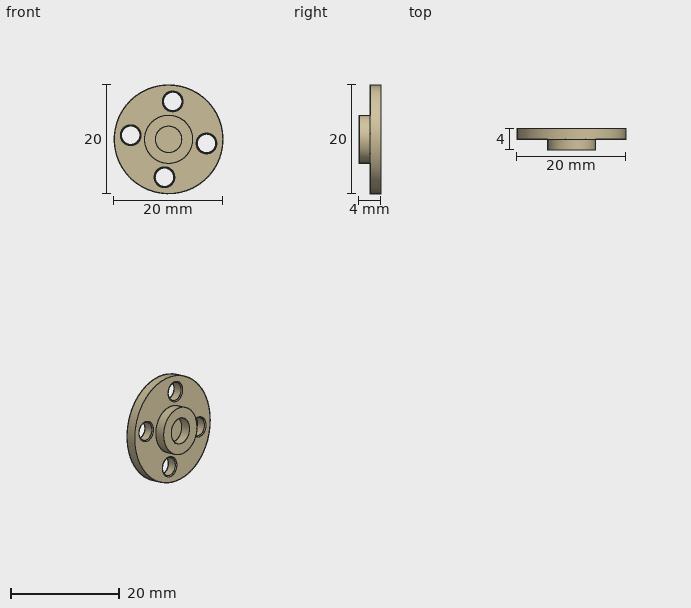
import cadquery as cq

flange_diameter = 20.0
flange_thickness = 2.0

boss_diameter = 8.85
boss_height = 2.0
bore_diameter = 4.85
bore_depth = 2.0

hole_count = 4
hole_diameter = 3.4
hole_chamfer = 0.2
bolt_circle_radius = 7.0
first_hole_angle = 83.8


def cylinder(diameter, front_y, length):
    """Cylinder on the part axis, running from front_y toward +Y."""
    plane = cq.Workplane("XZ", origin=(0, front_y, 0))
    return plane.circle(diameter / 2).extrude(-length)


def bolt_hole_cutter():
    """Chamfered through hole on the part axis, entering the flange at Y = 0."""
    mouth_radius = hole_diameter / 2 + hole_chamfer
    through_hole = cylinder(hole_diameter, 0, flange_thickness)
    countersink = cq.Workplane(
        cq.Solid.makeCone(
            mouth_radius,
            hole_diameter / 2,
            hole_chamfer,
            pnt=cq.Vector(0, 0, 0),
            dir=cq.Vector(0, 1, 0),
        )
    )
    return through_hole.union(countersink)


flange = cylinder(flange_diameter, 0, flange_thickness)
boss = cylinder(boss_diameter, -boss_height, boss_height)
bore = cylinder(bore_diameter, -boss_height, bore_depth)
result = flange.union(boss).cut(bore)

cutter = bolt_hole_cutter().translate((bolt_circle_radius, 0, 0))
for index in range(hole_count):
    angle = first_hole_angle + index * 360 / hole_count
    result = result.cut(cutter.rotate((0, 0, 0), (0, -1, 0), angle))